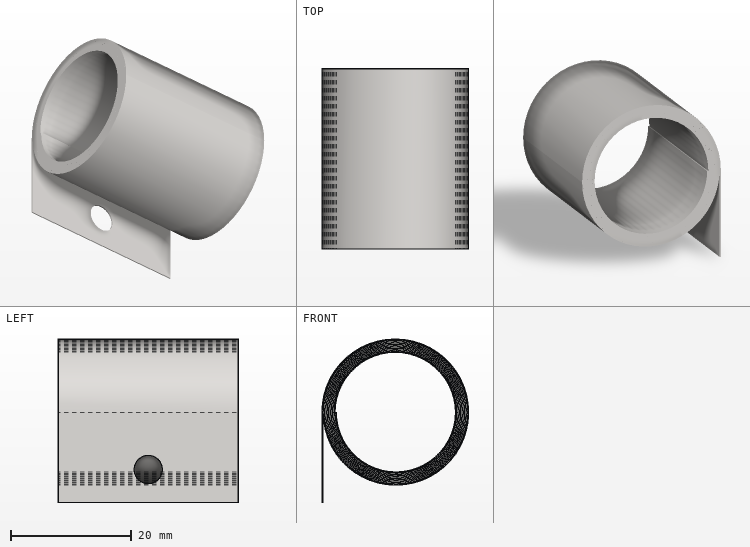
import cadquery as cq

strip_width = 30.0
turns = 10
outer_radius = 12.21
tail_length = 15.0
pitch = 0.22
layer_gap = 0.0005
strip_thickness = pitch - layer_gap

hole_diameter = 4.7
hole_to_tail_end = 5.5
hole_cut_length = 2.0


def half_turns(first_radius):
    """Start, apex and end (X, Z) points of every half turn along one face of the coil.

    The half turns are semicircles that run over the top and under the bottom by turns.
    Each is half a pitch smaller than the one before, so they join smoothly at Z = 0.
    """
    arcs = []
    x_start = -first_radius
    for index in range(2 * turns):
        radius = first_radius - index * pitch / 2
        direction = 1 if index % 2 == 0 else -1
        x_centre = x_start + direction * radius
        x_end = x_centre + direction * radius
        arcs.append(((x_start, 0), (x_centre, direction * radius), (x_end, 0)))
        x_start = x_end
    return arcs


def make_strip():
    """Edge-on profile of tail and coil, extruded across the strip width."""
    inner_radius = outer_radius - strip_thickness
    outer_arcs = half_turns(outer_radius)
    inner_arcs = half_turns(inner_radius)

    profile = cq.Workplane("XZ").moveTo(-outer_radius, -tail_length).lineTo(-outer_radius, 0)
    for _, apex, end in outer_arcs:
        profile = profile.threePointArc(apex, end)
    _, _, inner_tip = inner_arcs[-1]
    profile = profile.lineTo(*inner_tip)
    for start, apex, _ in reversed(inner_arcs):
        profile = profile.threePointArc(apex, start)
    profile = profile.lineTo(-inner_radius, -tail_length).close()
    return profile.extrude(strip_width / 2, both=True)


def make_hole_cutter():
    """Cylinder along X through the tail."""
    return (
        cq.Workplane("YZ", origin=(-outer_radius - hole_cut_length / 2, 0, 0))
        .center(0, hole_to_tail_end - tail_length)
        .circle(hole_diameter / 2)
        .extrude(hole_cut_length)
    )


result = make_strip().cut(make_hole_cutter())